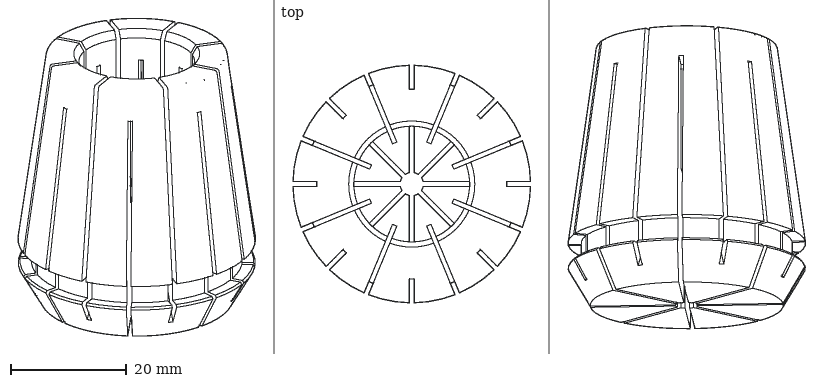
import cadquery as cq
import math

height = 46.0
collar_top = 7.0
body_bottom = 11.05

body_radius = 20.55
body_half_angle = 8.0
collar_radius = 20.5
nose_half_angle = 30.0
collar_edge_height = 0.4
collar_edge_width = 0.3
collar_edge_bottom = collar_top - collar_edge_height
nose_slope = math.tan(math.radians(nose_half_angle))
nose_radius = collar_radius - collar_edge_bottom * nose_slope
groove_radius = 18.25
back_edge_fillet = 0.5

clamp_bore_radius = 2.0
clamp_bore_fillet = 0.5
relief_bore_radius = 10.0
relief_floor = 22.0
relief_floor_fillet = 0.8
mouth_radius = 10.9
mouth_depth = 1.4

slot_count = 8
slot_width = 0.8
nose_slot_top = 40.4
back_slot_outer_bottom = 3.0
back_slot_inner_radius = 7.7

slot_pitch = 360.0 / slot_count
slot_overrun = 1.0
slot_reach = body_radius + slot_overrun


def make_body():
    """Solid of revolution: nose cone, collar, extraction groove and long clamping taper."""
    back_radius = body_radius - (height - body_bottom) * math.tan(math.radians(body_half_angle))
    profile = [
        (0, 0),
        (nose_radius, 0),
        (collar_radius, collar_edge_bottom),
        (collar_radius - collar_edge_width, collar_top),
        (groove_radius, collar_top),
        (groove_radius, body_bottom),
        (body_radius, body_bottom),
        (back_radius, height),
        (0, height),
    ]
    body = cq.Workplane("XZ").polyline(profile).close().revolve(360, (0, 0), (0, 1))
    return body.faces(">Z").edges().fillet(back_edge_fillet)


def make_bore():
    """Cutter for the small clamping bore, the wide relief behind it and the flared mouth."""
    clamp_fillet_bulge = clamp_bore_fillet * (1 - math.sqrt(0.5))
    floor_fillet_bulge = relief_floor_fillet * (1 - math.sqrt(0.5))
    return (
        cq.Workplane("XZ")
        .moveTo(0, 0)
        .lineTo(clamp_bore_radius, 0)
        .lineTo(clamp_bore_radius, relief_floor - clamp_bore_fillet)
        .threePointArc(
            (clamp_bore_radius + clamp_fillet_bulge, relief_floor - clamp_fillet_bulge),
            (clamp_bore_radius + clamp_bore_fillet, relief_floor),
        )
        .lineTo(relief_bore_radius - relief_floor_fillet, relief_floor)
        .threePointArc(
            (relief_bore_radius - floor_fillet_bulge, relief_floor + floor_fillet_bulge),
            (relief_bore_radius, relief_floor + relief_floor_fillet),
        )
        .lineTo(relief_bore_radius, height - mouth_depth)
        .lineTo(mouth_radius, height)
        .lineTo(0, height)
        .close()
        .revolve(360, (0, 0), (0, 1))
    )


def make_slot(side_outline, angle):
    """Thin radial blade with the given (radius, height) outline, turned to an angle about Z."""
    blade = cq.Workplane("XZ").polyline(side_outline).close().extrude(slot_width / 2, both=True)
    return blade.rotate((0, 0, 0), (0, 0, 1), angle)


nose_slot_outline = [
    (0, 0),
    (slot_reach, 0),
    (slot_reach, nose_slot_top),
    (0, nose_slot_top),
]

slot_exit_radius = nose_radius + back_slot_outer_bottom * nose_slope
slot_floor_slope = (relief_floor - back_slot_outer_bottom) / (slot_exit_radius - back_slot_inner_radius)
slot_reach_bottom = back_slot_outer_bottom - (slot_reach - slot_exit_radius) * slot_floor_slope
back_slot_outline = [
    (back_slot_inner_radius, relief_floor),
    (slot_reach, slot_reach_bottom),
    (slot_reach, height),
    (back_slot_inner_radius, height),
]

result = make_body().cut(make_bore())

for index in range(slot_count):
    nose_slot_angle = index * slot_pitch
    back_slot_angle = nose_slot_angle + slot_pitch / 2
    result = result.cut(make_slot(nose_slot_outline, nose_slot_angle))
    result = result.cut(make_slot(back_slot_outline, back_slot_angle))